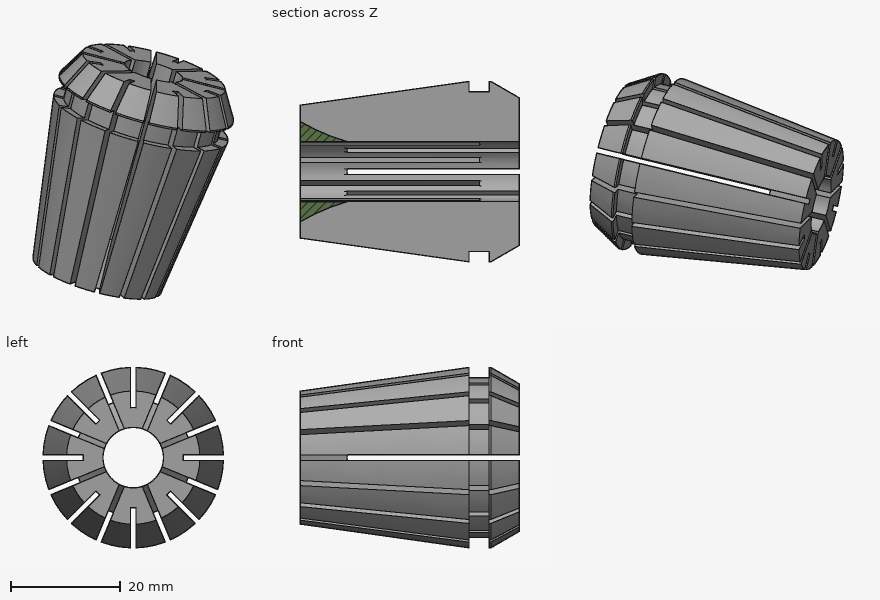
import cadquery as cq
import math

length = 40.0
outer_diameter = 33.0
bore_diameter = 11.0

taper_angle = 8.0
groove_start = 30.85
groove_end = 34.5
groove_diameter = 29.2
land_width = 0.3
nose_angle = 30.0

slots_per_set = 8
slot_width = 1.0
floor_arc_radius = 38.0
front_floor_radius = 9.15
front_bridge_length = 8.65
rear_floor_radius = 10.7
rear_bridge_length = 7.3

outer_radius = outer_diameter / 2
bore_radius = bore_diameter / 2
groove_radius = groove_diameter / 2
nose_start = groove_end + land_width
front_radius = outer_radius - groove_start * math.tan(math.radians(taper_angle))
rear_radius = outer_radius - (length - nose_start) * math.tan(math.radians(nose_angle))

bore_edge = math.sqrt(bore_radius**2 - (slot_width / 2) ** 2)
slot_pitch = 360 / slots_per_set


def make_body():
    """Unslotted collet: revolved taper, groove and nose around the bore."""
    return (
        cq.Workplane("XY")
        .moveTo(0, bore_radius)
        .lineTo(0, front_radius)
        .lineTo(groove_start, outer_radius)
        .lineTo(groove_start, groove_radius)
        .lineTo(groove_end, groove_radius)
        .lineTo(groove_end, outer_radius)
        .lineTo(nose_start, outer_radius)
        .lineTo(length, rear_radius)
        .lineTo(length, bore_radius)
        .close()
        .revolve(360, (0, 0, 0), (1, 0, 0))
    )


def make_slot(floor_radius, bridge_length):
    """Slot open along the whole length, with its curved floor at the X = 0 end."""
    return (
        cq.Workplane("XY")
        .moveTo(0, floor_radius)
        .radiusArc((bridge_length, bore_edge), -floor_arc_radius)
        .lineTo(bridge_length, 0)
        .lineTo(length, 0)
        .lineTo(length, outer_radius)
        .lineTo(0, outer_radius)
        .close()
        .extrude(slot_width / 2, both=True)
    )


def cut_slots(body, slot, first_angle):
    """Cut one full set of slots, evenly spaced around the axis."""
    for index in range(slots_per_set):
        angle = first_angle + index * slot_pitch
        body = body.cut(slot.rotate((0, 0, 0), (1, 0, 0), angle))
    return body


front_slot = make_slot(front_floor_radius, front_bridge_length)
rear_slot = make_slot(rear_floor_radius, rear_bridge_length).mirror("YZ").translate((length, 0, 0))

result = make_body()
result = cut_slots(result, front_slot, 0)
result = cut_slots(result, rear_slot, slot_pitch / 2)